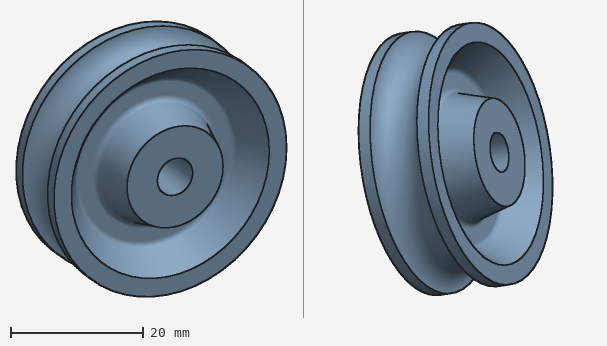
import cadquery as cq
import math

outer_radius = 40.0 / 2
rim_half_width = 12.0 / 2
hub_half_width = 15.0 / 2
web_half_thickness = 2.0 / 2
bore_radius = 6.05 / 2
groove_radius = 4.0
hub_face_radius = 8.25
hub_draft = 15.0
rim_inner_radius = 17.0
rim_draft = 35.0
root_fillet = 1.0

hub_root_radius = hub_face_radius + (hub_half_width - web_half_thickness) * math.tan(math.radians(hub_draft))
rim_root_radius = rim_inner_radius - (rim_half_width - web_half_thickness) * math.tan(math.radians(rim_draft))


def make_blank():
    """Full-width disc with the round rope groove in its edge."""
    blank = cq.Workplane("YZ").circle(outer_radius).extrude(hub_half_width, both=True)
    groove = (
        cq.Workplane("XY")
        .center(0, outer_radius)
        .circle(groove_radius)
        .revolve(360, (0, -outer_radius), (1, -outer_radius))
    )
    return blank.cut(groove)


def make_side_recess(side):
    """Material removed around the hub on one side; side is +1 or -1 along X."""
    web_x = side * web_half_thickness
    rim_x = side * rim_half_width
    hub_x = side * hub_half_width
    recess = (
        cq.Workplane("XY")
        .moveTo(hub_x, hub_face_radius)
        .lineTo(web_x, hub_root_radius)
        .lineTo(web_x, rim_root_radius)
        .lineTo(rim_x, rim_inner_radius)
        .lineTo(rim_x, outer_radius)
        .lineTo(hub_x, outer_radius)
        .close()
        .revolve(360, (0, 0), (1, 0))
    )
    web_face = ">X" if side < 0 else "<X"
    return recess.faces(web_face).edges().fillet(root_fillet)


def make_bore():
    return cq.Workplane("YZ").circle(bore_radius).extrude(hub_half_width, both=True)


result = make_blank()
for side in (-1, 1):
    result = result.cut(make_side_recess(side))
result = result.cut(make_bore())